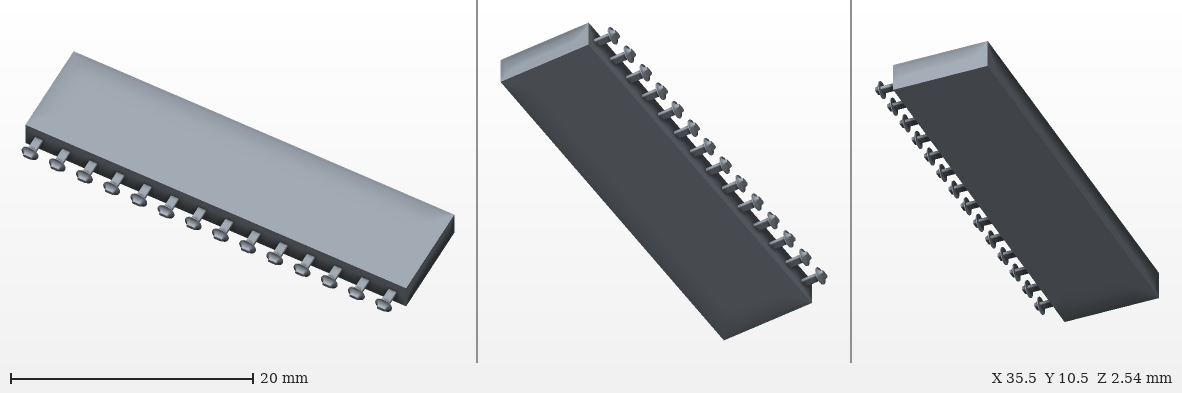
import cadquery as cq

pin_count = 14
housing_length = 35.55
housing_depth = 8.5
pitch = housing_length / pin_count
housing_height = pitch

pin_projection = 2.03
pin_width = 0.8
pin_thickness = 0.32
pin_corner_radius = 0.1

collar_diameter = 1.53
collar_thickness = 0.07
collar_offset = 1.53
flare_radius = 0.45

front_face_y = -housing_depth / 2
collar_back_y = front_face_y - collar_offset
collar_front_y = collar_back_y - collar_thickness


def plane_facing_front(y):
    """Workplane at the given Y whose normal points along -Y."""
    return cq.Workplane(cq.Plane(origin=(0, y, 0), xDir=(1, 0, 0), normal=(0, -1, 0)))


def make_pin():
    """One pin with its flared collar, centred on X = 0 and Z = 0."""
    blade = (
        plane_facing_front(front_face_y)
        .rect(pin_width, pin_thickness)
        .extrude(pin_projection + flare_radius)
        .edges("|Y")
        .fillet(pin_corner_radius)
    )
    disc = (
        plane_facing_front(collar_back_y)
        .circle(collar_diameter)
        .extrude(collar_thickness)
    )
    joint = cq.selectors.BoxSelector(
        (-pin_width, collar_front_y - collar_thickness / 2, -pin_thickness),
        (pin_width, collar_front_y + collar_thickness / 2, pin_thickness),
        boundingbox=True,
    )
    flared_pin = blade.union(disc).edges(joint).fillet(flare_radius)
    envelope = (
        plane_facing_front(front_face_y)
        .circle(collar_diameter / 2)
        .extrude(pin_projection)
    )
    return flared_pin.intersect(envelope)


result = cq.Workplane("XY").box(housing_length, housing_depth, housing_height)
pin = make_pin()
for index in range(pin_count):
    pin_x = (index - (pin_count - 1) / 2) * pitch
    result = result.union(pin.translate((pin_x, 0, 0)))